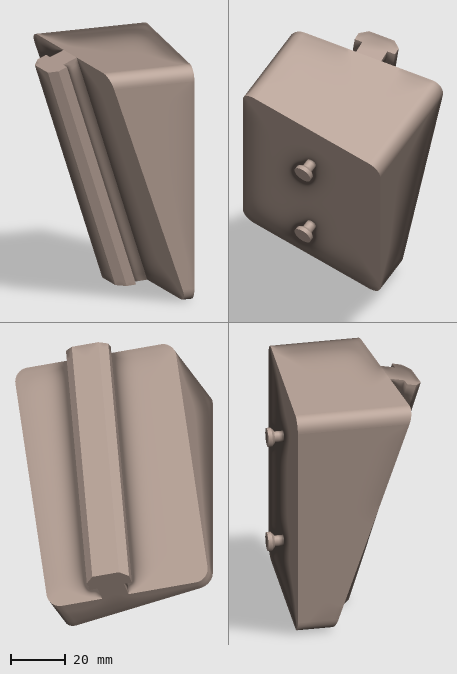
import cadquery as cq

block_width = 60.0
block_height = 90.0
corner_radius = 5.0

front_top_depth = 37.8
turn_angle = 10.0
lean_angle = 18.0

rail_width = 16.0
neck_width = 10.0
neck_height = 5.9
flange_side_height = 3.7
flange_chamfer = 3.0
rail_height = neck_height + flange_side_height + flange_chamfer

stud_spacing = 44.0
shank_radius = 2.0
head_radius = 3.5
shank_length = 3.5
head_cone_length = 1.0
head_rim_length = 1.5
head_inner_radius = head_radius - head_cone_length

oversize = 3 * block_height


def lean_and_turn(shape):
    """Tilt an upright shape from the Z axis into the slope of the front face."""
    leaned = shape.rotate((0, 0, 0), (1, 0, 0), lean_angle)
    turned = leaned.rotate((0, 0, 0), (0, 0, 1), turn_angle)
    return turned.translate((0, -front_top_depth, block_height))


def make_block():
    blank = (
        cq.Workplane("XY")
        .box(block_width, oversize, block_height, centered=(True, False, False))
        .translate((0, -oversize, 0))
        .edges("|Y")
        .fillet(corner_radius)
    )
    waste = cq.Workplane("XY").box(oversize, 2 * oversize, 2 * oversize).translate((0, -oversize, 0))
    return blank.cut(lean_and_turn(waste))


def make_rail():
    half_flange = rail_width / 2
    half_neck = neck_width / 2
    flange_side_end = neck_height + flange_side_height
    upright = (
        cq.Workplane("XY")
        .moveTo(0, 0)
        .lineTo(half_neck, 0)
        .lineTo(half_neck, -neck_height)
        .lineTo(half_flange, -neck_height)
        .lineTo(half_flange, -flange_side_end)
        .lineTo(half_flange - flange_chamfer, -rail_height)
        .lineTo(0, -rail_height)
        .mirrorY()
        .extrude(-oversize)
    )
    above_bottom = cq.Workplane("XY").box(oversize, oversize, oversize, centered=(True, True, False))
    return lean_and_turn(upright).intersect(above_bottom)


def make_stud(height):
    cone_end = shank_length + head_cone_length
    stud_length = cone_end + head_rim_length
    return (
        cq.Workplane("XY")
        .polyline([
            (0, 0),
            (shank_radius, 0),
            (shank_radius, shank_length),
            (head_inner_radius, shank_length),
            (head_radius, cone_end),
            (head_radius, stud_length),
            (0, stud_length),
        ])
        .close()
        .revolve(360, (0, 0), (0, 1))
        .translate((0, 0, height))
    )


result = make_block().union(make_rail())
for side in (-1, 1):
    result = result.union(make_stud(block_height / 2 + side * stud_spacing / 2))